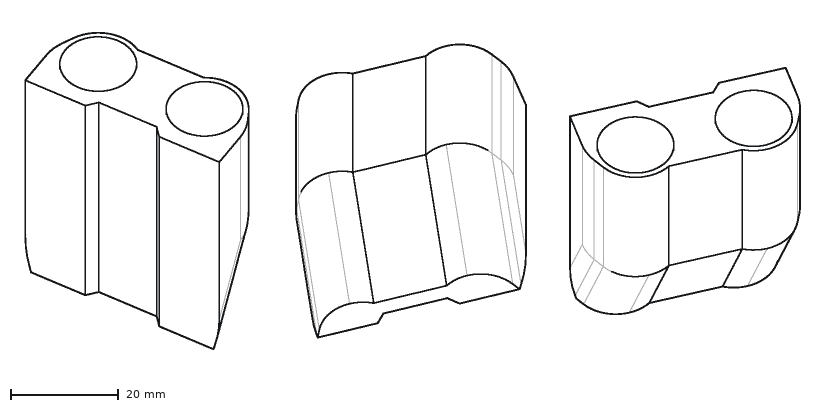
import cadquery as cq
import math

WIDTH = 42.0
DEPTH = 18.84
HEIGHT = 50.0

BORE_SPACING = 23.0
BORE_RADIUS = 7.15
BARREL_RADIUS = 8.25
WEB_DROP = 1.25

FLANK_ANGLE = math.radians(26)
BLEND_RADIUS = 9.8

SLANT_HEIGHT = 23.0
SLANT_SHIFT = 12.5

CHANNEL_WIDTH = 16.0
CHANNEL_FLOOR_WIDTH = 12.5
CHANNEL_DEPTH = 2.0

half_width = WIDTH / 2
barrel_x = BORE_SPACING / 2
barrel_y = DEPTH - BARREL_RADIUS
web_y = DEPTH - WEB_DROP
web_half_length = barrel_x - math.sqrt(BARREL_RADIUS**2 - (web_y - barrel_y) ** 2)


def point_on_arc(center, radius, angle):
    return (center[0] + radius * math.cos(angle), center[1] + radius * math.sin(angle))


def mirrored(point):
    return (-point[0], point[1])


def outline(workplane):
    """Body outline without the front channel."""
    barrel_center = (barrel_x, barrel_y)
    crest = (barrel_x, DEPTH)
    barrel_mid = point_on_arc(barrel_center, BARREL_RADIUS, (FLANK_ANGLE + math.pi / 2) / 2)
    barrel_end = point_on_arc(barrel_center, BARREL_RADIUS, FLANK_ANGLE)
    inner_angle = math.atan2(web_y - barrel_y, web_half_length - barrel_x)
    inner_mid = point_on_arc(barrel_center, BARREL_RADIUS, (inner_angle + math.pi / 2) / 2)
    web_end = (web_half_length, web_y)

    blend_x = half_width - BLEND_RADIUS
    flat_run = blend_x + BLEND_RADIUS * math.cos(FLANK_ANGLE) - barrel_end[0]
    flat_end_y = barrel_end[1] - flat_run / math.tan(FLANK_ANGLE)
    blend_center = (blend_x, flat_end_y - BLEND_RADIUS * math.sin(FLANK_ANGLE))
    blend_start = point_on_arc(blend_center, BLEND_RADIUS, FLANK_ANGLE)
    blend_mid = point_on_arc(blend_center, BLEND_RADIUS, FLANK_ANGLE / 2)
    blend_end = (half_width, blend_center[1])

    return (
        workplane.moveTo(-half_width, 0)
        .lineTo(half_width, 0)
        .lineTo(*blend_end)
        .threePointArc(blend_mid, blend_start)
        .lineTo(*barrel_end)
        .threePointArc(barrel_mid, crest)
        .threePointArc(inner_mid, web_end)
        .lineTo(*mirrored(web_end))
        .threePointArc(mirrored(inner_mid), mirrored(crest))
        .threePointArc(mirrored(barrel_mid), mirrored(barrel_end))
        .lineTo(*mirrored(blend_start))
        .threePointArc(mirrored(blend_mid), mirrored(blend_end))
        .close()
    )


def upright_part():
    base = cq.Workplane("XY", origin=(0, 0, SLANT_HEIGHT))
    return outline(base).extrude(HEIGHT - SLANT_HEIGHT)


def slanted_part():
    """Oblique prism, trimmed flush with the front face."""
    bottom = outline(cq.Workplane("XY", origin=(0, -SLANT_SHIFT, 0))).val()
    top = outline(cq.Workplane("XY", origin=(0, 0, SLANT_HEIGHT))).val()
    prism = cq.Workplane(cq.Solid.makeLoft([bottom, top], ruled=True))
    keep = cq.Workplane("XY").box(WIDTH, DEPTH, SLANT_HEIGHT, centered=(True, False, False))
    return prism.intersect(keep)


def bores():
    """Flat-bottomed bores that end where the body starts to slant."""
    return (
        cq.Workplane("XY", origin=(0, barrel_y, SLANT_HEIGHT))
        .pushPoints([(-barrel_x, 0), (barrel_x, 0)])
        .circle(BORE_RADIUS)
        .extrude(HEIGHT - SLANT_HEIGHT)
    )


def front_channel():
    mouth = CHANNEL_WIDTH / 2
    floor = CHANNEL_FLOOR_WIDTH / 2
    corners = [(-mouth, 0), (-floor, CHANNEL_DEPTH), (floor, CHANNEL_DEPTH), (mouth, 0)]
    return cq.Workplane("XY").polyline(corners).close().extrude(HEIGHT)


result = upright_part().union(slanted_part()).cut(bores()).cut(front_channel())